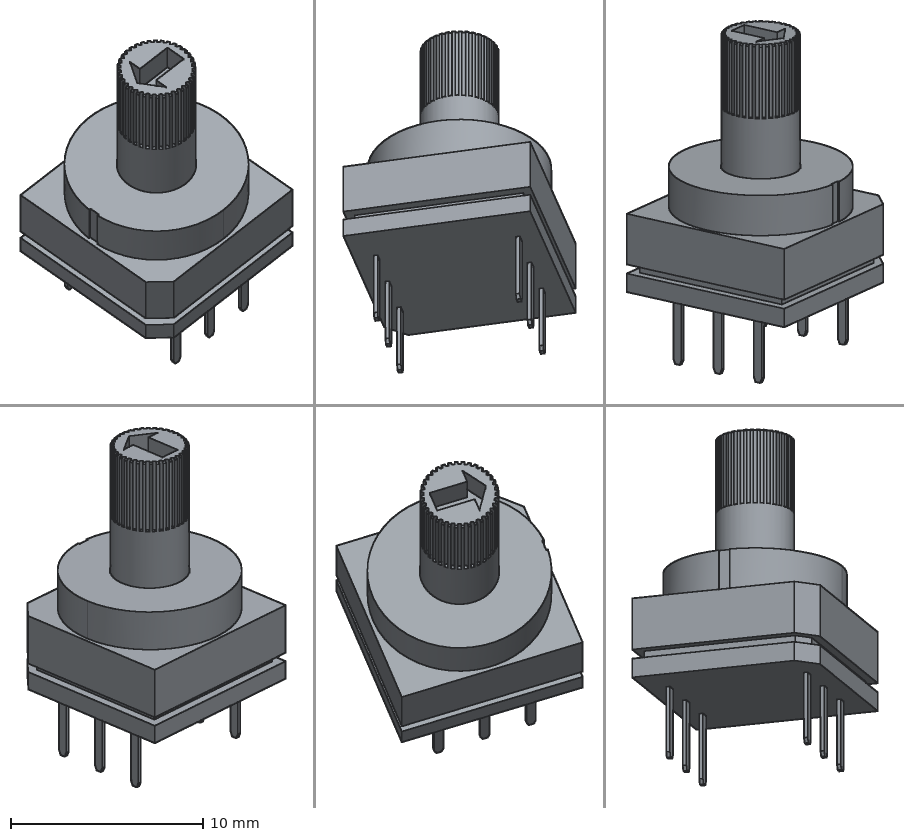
import cadquery as cq

overall_height = 17.6
plate_bottom = 3.8
plate_top = 4.82
housing_bottom = 5.32
housing_top = 8.1
dial_top = 10.3
knurl_bottom = 13.59

body_side = 10.0
body_corner_cut = 1.04
neck_inset = 0.5
neck_corner_cut = 0.69

dial_diameter = 9.57
dial_bore_diameter = 4.15
notch_width = 0.6
notch_depth = 0.1

shaft_diameter = 4.1
knurl_top_chamfer = 0.09
groove_count = 36
groove_width = 0.2
groove_floor_radius = 1.85

arrow_tip_y = -1.46
arrow_tail_y = 1.45
arrow_barb_y = -0.63
arrow_barb_half_width = 1.3
arrow_stem_half_width = 0.58
arrow_depth = 1.5

pin_thickness = 0.21
pin_width = 0.51
pin_pitch = 2.55
pin_row_spacing = 7.6
pins_per_row = 3
pin_tip_width = 0.28
pin_tip_height = 0.26


def cut_corner_square(side, corner_cut, bottom, top):
    """Square slab whose (+X, -Y) corner is cut off."""
    half = side / 2
    outline = [
        (-half, -half),
        (half - corner_cut, -half),
        (half, -half + corner_cut),
        (half, half),
        (-half, half),
    ]
    return cq.Workplane("XY").workplane(offset=bottom).polyline(outline).close().extrude(top - bottom)


def cylinder(diameter, bottom, top):
    return cq.Workplane("XY").workplane(offset=bottom).circle(diameter / 2).extrude(top - bottom)


def make_body():
    plate = cut_corner_square(body_side, body_corner_cut, plate_bottom, plate_top)
    neck = cut_corner_square(body_side - 2 * neck_inset, neck_corner_cut, plate_top, housing_bottom)
    housing = cut_corner_square(body_side, body_corner_cut, housing_bottom, housing_top)
    return plate.union(neck).union(housing)


def make_dial():
    """Ring with clearance around the shaft and a notch in the -Y side of its rim."""
    dial = cylinder(dial_diameter, housing_top, dial_top)
    bore = cylinder(dial_bore_diameter, housing_top, dial_top)
    notch = (
        cq.Workplane("XY")
        .workplane(offset=housing_top)
        .center(0, -dial_diameter / 2)
        .rect(notch_width, 2 * notch_depth)
        .extrude(dial_top - housing_top)
    )
    return dial.cut(bore).cut(notch)


def make_knurl():
    """Grip cylinder with a bevelled top edge and round-bottomed grooves along its length."""
    knurl = cylinder(shaft_diameter, knurl_bottom, overall_height)
    knurl = knurl.faces(">Z").chamfer(knurl_top_chamfer)
    slot_length = 2 * (shaft_diameter / 2 - groove_floor_radius)
    grooves = (
        cq.Workplane("XY")
        .workplane(offset=knurl_bottom)
        .polarArray(shaft_diameter / 2, 0, 360, groove_count)
        .slot2D(slot_length, groove_width)
        .extrude(overall_height - knurl_bottom)
    )
    return knurl.cut(grooves)


def make_arrow_pocket():
    outline = [
        (0, arrow_tip_y),
        (arrow_barb_half_width, arrow_barb_y),
        (arrow_stem_half_width, arrow_barb_y),
        (arrow_stem_half_width, arrow_tail_y),
        (-arrow_stem_half_width, arrow_tail_y),
        (-arrow_stem_half_width, arrow_barb_y),
        (-arrow_barb_half_width, arrow_barb_y),
    ]
    return cq.Workplane("XY").workplane(offset=overall_height).polyline(outline).close().extrude(-arrow_depth)


def make_pin(x, y):
    """Flat pin whose width tapers at the lower end."""
    outline = [
        (y - pin_tip_width / 2, 0),
        (y + pin_tip_width / 2, 0),
        (y + pin_width / 2, pin_tip_height),
        (y + pin_width / 2, plate_bottom),
        (y - pin_width / 2, plate_bottom),
        (y - pin_width / 2, pin_tip_height),
    ]
    return (
        cq.Workplane("YZ")
        .workplane(offset=x - pin_thickness / 2)
        .polyline(outline)
        .close()
        .extrude(pin_thickness)
    )


def make_pins():
    pins = cq.Workplane("XY")
    for x in (-pin_row_spacing / 2, pin_row_spacing / 2):
        for index in range(pins_per_row):
            y = (index - (pins_per_row - 1) / 2) * pin_pitch
            pins = pins.add(make_pin(x, y))
    return pins.combine()


plain_shaft = cylinder(shaft_diameter, housing_top, knurl_bottom)
shaft = plain_shaft.union(make_knurl()).cut(make_arrow_pocket())
result = make_body().union(make_dial()).union(shaft).union(make_pins())